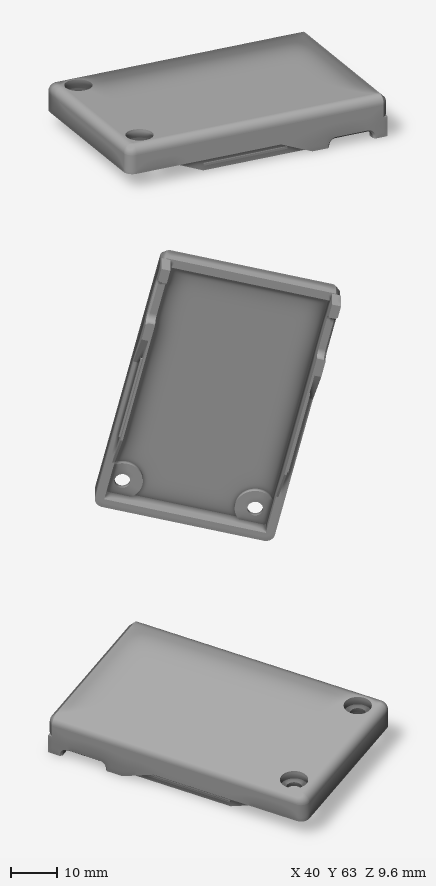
import cadquery as cq

width = 40.0
length = 62.95
height = 9.6
wall = 2.0
half_width = width / 2
inner_half_width = half_width - wall
overlap = 0.6

rim_depth = 6.5
lip_depth = 5.0
rim_z = height - rim_depth
lip_bottom_z = height - lip_depth
plate_bottom_z = height - wall

lip_chamfer = 1.15
lip_overhang = 0.2
skirt_end_y = length - lip_overhang

ramp_run = 7.55
skirt_foot_y = 44.6
tab_foot_y = 18.95
tab_thickness = 0.5

ridge_length = 20.15
ridge_height = 0.5
ridge_projection = 0.4
ridge_z = 1.5

notch_y = 54.15
notch_width = 10.6
notch_height = 1.8
notch_radius = 1.5
notch_bevel = 0.45

screw_x = half_width - 5.2
screw_y = 5.4
screw_diameter = 3.4
counterbore_diameter = 6.1
counterbore_depth = 2.0
boss_diameter = 8.9
boss_height = 3.0
screw_points = [(-screw_x, screw_y), (screw_x, screw_y)]


def box(x_min, x_max, y_min, y_max, z_min, z_max):
    size = (x_max - x_min, y_max - y_min, z_max - z_min)
    return cq.Workplane("XY").box(*size, centered=False).translate((x_min, y_min, z_min))


def make_shell():
    """Open-bottomed tray with rounded edges and a bevelled lip end."""
    shell = box(-half_width, half_width, 0, length, rim_z, height)
    shell = shell.edges("|Z and <Y").fillet(wall)
    shell = shell.faces(">Z").edges("not >Y").fillet(wall)

    shell = shell.faces(">Y").edges("not <Z").chamfer(lip_chamfer)

    cavity = box(-inner_half_width, inner_half_width, wall, length - wall, 0, plate_bottom_z)
    below_lip = box(-half_width, half_width, length - wall, length, 0, lip_bottom_z)
    return shell.cut(cavity).cut(below_lip)


def skirt_layer(foot_y, x_start, thickness):
    """Skirt plate with a ramp that rises from foot_y to the rim."""
    return (
        cq.Workplane("YZ", origin=(x_start, 0, 0))
        .moveTo(skirt_end_y, 0)
        .lineTo(foot_y, 0)
        .lineTo(foot_y - ramp_run, rim_z)
        .lineTo(foot_y - ramp_run, lip_bottom_z)
        .lineTo(skirt_end_y, lip_bottom_z)
        .close()
        .extrude(thickness)
    )


def notch_outline(x, growth):
    """Round-cornered notch outline at the given X, enlarged all round by growth."""
    half = notch_width / 2 + growth
    top = notch_height + growth
    radius = notch_radius + growth
    left = notch_y - half
    right = notch_y + half
    return (
        cq.Workplane("YZ", origin=(x, 0, 0))
        .moveTo(left, -overlap)
        .lineTo(left, top - radius)
        .radiusArc((left + radius, top), radius)
        .lineTo(right - radius, top)
        .radiusArc((right, top - radius), radius)
        .lineTo(right, -overlap)
        .close()
    )


def make_notch():
    """Through notch with a bevel on the outer face of the left skirt."""
    through = notch_outline(-half_width, 0).extrude(wall)
    outer_wire = notch_outline(-half_width, notch_bevel).val()
    inner_wire = notch_outline(-half_width + notch_bevel, 0).val()
    bevel = cq.Solid.makeLoft([outer_wire, inner_wire], True)
    return through.union(cq.Workplane(bevel))


def make_left_skirt():
    tab_x = -inner_half_width - tab_thickness
    skirt = skirt_layer(skirt_foot_y, -half_width, wall)
    skirt = skirt.union(skirt_layer(tab_foot_y, tab_x, tab_thickness))
    ridge = box(
        tab_x - ridge_projection, tab_x,
        tab_foot_y, tab_foot_y + ridge_length,
        ridge_z - ridge_height / 2, ridge_z + ridge_height / 2,
    )
    return skirt.union(ridge).cut(make_notch())


def add_screw_bosses(body):
    """Short bosses under the top plate, counterbored for screws."""
    bosses = (
        cq.Workplane("XY", origin=(0, 0, height - boss_height))
        .pushPoints(screw_points)
        .circle(boss_diameter / 2)
        .extrude(boss_height - wall + overlap)
    )
    return (
        body.union(bosses)
        .copyWorkplane(cq.Workplane("XY", origin=(0, 0, height)))
        .pushPoints(screw_points)
        .cboreHole(screw_diameter, counterbore_diameter, counterbore_depth, boss_height)
    )


left_skirt = make_left_skirt()
cover = make_shell().union(left_skirt).union(left_skirt.mirror("YZ"))
result = add_screw_bosses(cover)